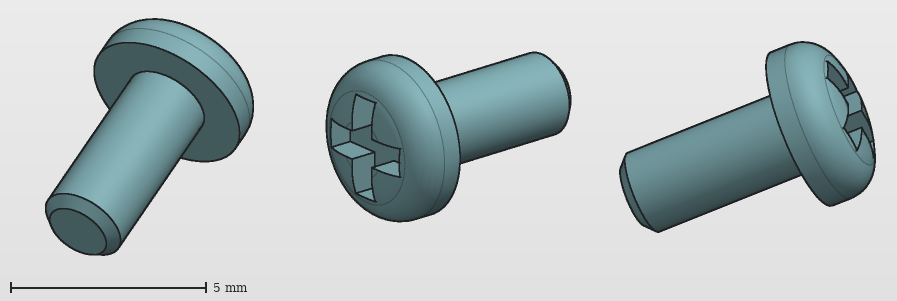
import cadquery as cq
import math

overall_length = 6.28
head_diameter = 4.24
shank_diameter = 2.185
tip_chamfer = 0.27
head_height = 1.51
rim_height = 0.53
shoulder_round = 0.85
crown_radius = 1.51
flat_radius = 0.755
slot_width = 0.78
slot_length = 2.725
recess_depth = 0.755

head_radius = head_diameter / 2
shank_radius = shank_diameter / 2
underside_y = overall_length - head_height
rim_y = underside_y + rim_height


def shoulder_point(angle):
    """Point on the shoulder round, at an angle in radians from its rim end."""
    center_radius = head_radius - shoulder_round
    return (center_radius + shoulder_round * math.cos(angle), rim_y + shoulder_round * math.sin(angle))


crown_angle = math.acos((crown_radius - head_radius + shoulder_round) / shoulder_round)
shoulder_top = shoulder_point(crown_angle)
crown_drop = overall_length - shoulder_top[1]
crown_width = crown_radius - flat_radius
crown_arc_radius = (crown_width**2 + crown_drop**2) / (2 * crown_drop)


def crown_height(radius):
    """Y of the crown surface at a distance from the axis."""
    return overall_length - crown_arc_radius + math.sqrt(crown_arc_radius**2 - (radius - flat_radius) ** 2)


def make_body():
    """Shank and head, revolved about the Y axis."""
    crown_mid_radius = (flat_radius + crown_radius) / 2
    return (
        cq.Workplane("XY")
        .lineTo(shank_radius - tip_chamfer, 0)
        .lineTo(shank_radius, tip_chamfer)
        .lineTo(shank_radius, underside_y)
        .lineTo(head_radius, underside_y)
        .lineTo(head_radius, rim_y)
        .threePointArc(shoulder_point(crown_angle / 2), shoulder_top)
        .threePointArc((crown_mid_radius, crown_height(crown_mid_radius)), (flat_radius, overall_length))
        .lineTo(0, overall_length)
        .close()
        .revolve(360, (0, 0, 0), (0, 1, 0))
    )


def make_recess():
    """Two crossing slots cut down from the top of the crown."""
    size_y = 2 * recess_depth
    slot_x = cq.Workplane("XY").box(slot_length, size_y, slot_width)
    slot_z = cq.Workplane("XY").box(slot_width, size_y, slot_length)
    return slot_x.union(slot_z).translate((0, overall_length, 0))


result = make_body().cut(make_recess())